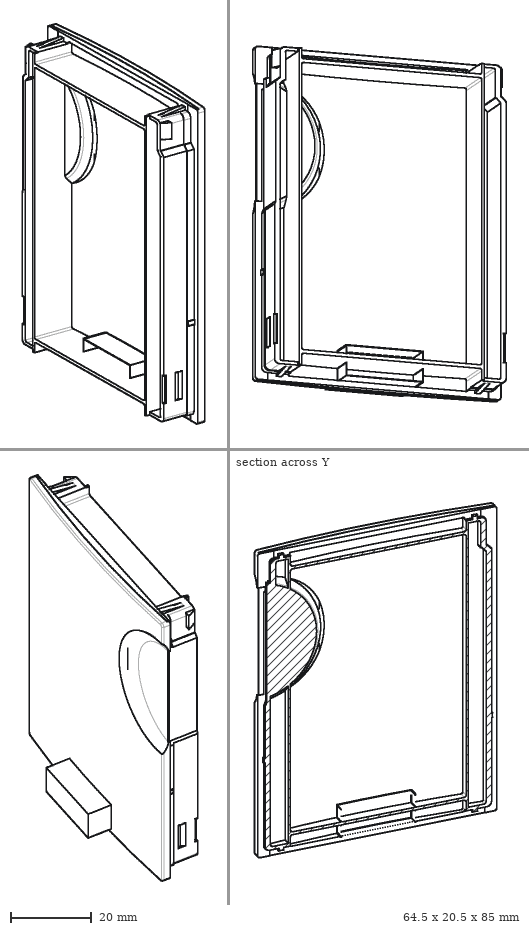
import cadquery as cq


PLATE_W = 64.5
PLATE_H = 85.0
CROWN_Y = 3.9
DOME_RISE = 1.6
SKIN = 1.8
PLATE_CORNER_R = 0.85
PLATE_EDGE_R = 0.4
RIM_INSET = 0.1
RELIEF_DEPTH = 0.1
TOP_RELIEF_X = 27.9
BOTTOM_RELIEF_X = 29.0

SCOOP_X = -32.55
SCOOP_Z = 60.4
SCOOP_FLOOR_R = 15.0
SCOOP_FLOOR_Y = 0.5
SCOOP_MID_R = 17.7
SCOOP_MID_Y = 1.8
SCOOP_TOP_R = 19.0
BULGE_FLOOR_R = 15.6
BULGE_FLOOR_Y = -0.85
BULGE_LOW_R = 16.3
BULGE_LOW_Y = -0.4
BULGE_HIGH_R = 17.85
BULGE_HIGH_Y = 1.3
BULGE_TOP_R = 19.0
BULGE_TOP_Y = 1.8
SCOOP_EDGE_INSET = 0.3

RIM_Y = -10.0
BOX_OUT_X = 24.3
BOX_IN_X = 23.6
BOX_TOP_Z = 80.1
BOX_BOTTOM_Z = 5.0
BOX_WALL = 0.9
POCKET_TOP_Z = 83.55
POCKET_BOTTOM_Z = 1.5
RAIL_LOW_Z = 2.1
RAIL_HIGH_Z = 82.8
CAVITY_R = 0.5

CHANNEL_Y = -9.0
CHANNEL_WIDE_X = 30.4
CHANNEL_NARROW_X = 29.0
CHANNEL_LOW_Z = 2.1
CHANNEL_LEDGE_Z = 75.05
CHANNEL_HIGH_Z = 83.0
LEDGE_FLAT = 0.2
CHANNEL_CORNER_R = 1.3
END_WALL = 0.85
SIDE_WALL = 1.45
LEDGE_DROP = 0.4
BAND_GROW = 0.2
BAND_Y = -2.0
TAB_Y = -1.8

RELIEF_X = -30.1
RELIEF_LOW_Z = 42.3
RELIEF_HIGH_Z = 43.5
TAB_TOP_Z = 76.6

HOOK_X = 30.3
HOOK_Y = -6.55
HOOK_LOW_Z = 78.0
HOOK_HIGH_Z = 82.45
NUB_X = 30.85
NUB_Y = -1.9
NUB_LOW_Z = 26.6
NUB_HIGH_Z = 27.9
SLOT_LOW_Z = 7.3
SLOT_HIGH_Z = 14.8
SLOT_NEAR_Y = -3.4
SLOT_DEEP_Y = -4.25
SLOT_FAR_Y = -5.6
SLOT_DEPTH = 0.6
RIM_NOTCH_Y = -8.25
RIM_NOTCH_DEPTH = 0.7
RIB_X0 = 25.4
RIB_X1 = 26.8
RIB_HEIGHT = 0.9
RIB_END_Y = -7.1

POST_HALF_W = 10.1
POST_LOW_Z = 1.6
POST_HIGH_Z = 9.5
POST_END_Y = 10.45
TUBE_END_Y = -4.85
TUBE_WALL = 0.2

HALF_W = PLATE_W / 2
OVERSHOOT = 0.85
OVERLAP = 0.4


def block(x0, x1, y0, y1, z0, z1):
    return cq.Workplane("XY").box(x1 - x0, y1 - y0, z1 - z0, centered=False).translate((x0, y0, z0))


def mirrored(solid):
    """The solid together with its mirror image across x = 0."""
    return solid.union(solid.mirror("YZ"))


def prism_along_z(points, z0, z1):
    """Extrude an (x, y) polygon from z0 to z1."""
    return cq.Workplane("XY").workplane(offset=z0).polyline(points).close().extrude(z1 - z0)


def dome(crown, base_y, z0, z1):
    """Solid between a flat base and a cylindrical dome across the plate width."""
    edge_y = crown - DOME_RISE
    return (
        cq.Workplane("XY").workplane(offset=z0)
        .moveTo(-HALF_W, base_y)
        .lineTo(HALF_W, base_y)
        .lineTo(HALF_W, edge_y)
        .threePointArc((0, crown), (-HALF_W, edge_y))
        .close()
        .extrude(z1 - z0)
    )


def below_skin(z0, z1):
    """Everything on the tray side of the inner dome surface."""
    return dome(CROWN_Y - SKIN, RIM_Y - OVERSHOOT, z0, z1)


def rim_reliefs():
    """Shallow steps along the top and bottom edges and beside the scoop."""
    top = block(-TOP_RELIEF_X, TOP_RELIEF_X, 0, RELIEF_DEPTH, POCKET_TOP_Z - OVERSHOOT, PLATE_H)
    bottom = block(-BOTTOM_RELIEF_X, BOTTOM_RELIEF_X, 0, RELIEF_DEPTH, 0, POCKET_BOTTOM_Z + OVERSHOOT)
    side = block(-HALF_W, RELIEF_X, 0, RELIEF_DEPTH, SCOOP_Z - SCOOP_FLOOR_R, SCOOP_Z + SCOOP_FLOOR_R)
    return top.union(bottom).union(side)


def plate_solid():
    plate = dome(CROWN_Y, 0, 0, PLATE_H).edges("|Y").fillet(PLATE_CORNER_R)
    plate = plate.faces(">Y").edges().fillet(PLATE_EDGE_R)
    for z0 in (0, PLATE_H - RIM_INSET):
        plate = plate.cut(below_skin(z0, z0 + RIM_INSET))
    return plate.cut(rim_reliefs())


def channel_prism(x_in, x_wide, x_narrow, z_low, z_ledge, z_high, y0, y1, radius):
    """Right-hand channel shape: wide below, stepping in over a 45 degree ledge above."""
    wide = block(x_in, x_wide, y0, y1, z_low, z_ledge)
    wide = wide.edges("|Y and >X and <Z").fillet(radius)
    wide = wide.edges("|Y and >X and >Z").chamfer(x_wide - x_narrow - LEDGE_FLAT)
    narrow = block(x_in, x_narrow, y0, y1, z_low + radius, z_high)
    narrow = narrow.edges("|Y and >X and >Z").fillet(radius)
    return wide.union(narrow)


def channel_body(y_end, grow):
    return channel_prism(
        BOX_IN_X, CHANNEL_WIDE_X + grow, CHANNEL_NARROW_X + grow,
        CHANNEL_LOW_Z - grow, CHANNEL_LEDGE_Z, CHANNEL_HIGH_Z,
        y_end, OVERLAP, CHANNEL_CORNER_R,
    )


def hook():
    outline = [(CHANNEL_NARROW_X - OVERSHOOT, HOOK_Y), (HOOK_X, HOOK_Y),
               (CHANNEL_NARROW_X, CHANNEL_Y), (CHANNEL_NARROW_X - OVERSHOOT, CHANNEL_Y)]
    return prism_along_z(outline, HOOK_LOW_Z, HOOK_HIGH_Z)


def end_ribs():
    """Tapered ribs on the top and bottom ends of a channel."""
    ribs = cq.Workplane("XY")
    for z_wall, outward in ((CHANNEL_HIGH_Z, 1), (CHANNEL_LOW_Z, -1)):
        outline = [(0, z_wall - outward * END_WALL / 2), (0, z_wall + outward * RIB_HEIGHT),
                   (RIB_END_Y, z_wall), (RIB_END_Y, z_wall - outward * END_WALL / 2)]
        rib = cq.Workplane("YZ").workplane(offset=RIB_X0).polyline(outline).close()
        ribs = ribs.add(rib.extrude(RIB_X1 - RIB_X0))
    return ribs.combine()


def channel_side_cuts():
    """V groove and rim notch low on the outer wall of a channel."""
    outside = CHANNEL_WIDE_X + OVERSHOOT
    groove = [(outside, SLOT_NEAR_Y), (CHANNEL_WIDE_X, SLOT_NEAR_Y),
              (CHANNEL_WIDE_X - SLOT_DEPTH, SLOT_DEEP_Y),
              (CHANNEL_WIDE_X, SLOT_FAR_Y), (outside, SLOT_FAR_Y)]
    notch = block(CHANNEL_WIDE_X - RIM_NOTCH_DEPTH, outside, CHANNEL_Y - OVERSHOOT, RIM_NOTCH_Y,
                  SLOT_LOW_Z, SLOT_HIGH_Z)
    return prism_along_z(groove, SLOT_LOW_Z, SLOT_HIGH_Z).union(notch)


def left_relief():
    """Thins the left outer wall beside the scoop, with a sloped lower end."""
    outside = -HALF_W - OVERSHOOT
    outline = [(RELIEF_X, RELIEF_HIGH_Z), (-CHANNEL_WIDE_X - BAND_GROW, RELIEF_LOW_Z),
               (outside, RELIEF_LOW_Z), (outside, TAB_TOP_Z), (RELIEF_X, TAB_TOP_Z)]
    return cq.Workplane("XZ").polyline(outline).close().extrude(-RIM_Y)


def channels():
    right = channel_body(CHANNEL_Y, 0).union(channel_body(BAND_Y, BAND_GROW))
    right = right.cut(channel_side_cuts()).union(hook()).union(end_ribs())
    nub = block(CHANNEL_WIDE_X - OVERSHOOT, NUB_X, NUB_Y, OVERLAP, NUB_LOW_Z, NUB_HIGH_Z)
    both = mirrored(right.union(nub)).cut(left_relief())
    tab = block(RELIEF_X, -CHANNEL_NARROW_X + OVERSHOOT, TAB_Y, OVERLAP,
                CHANNEL_LEDGE_Z - 2 * OVERSHOOT, TAB_TOP_Z)
    return both.union(tab)


def box_walls():
    """Outer block of the central box and its side rails, to be hollowed by the cavities."""
    rails = block(BOX_IN_X - OVERSHOOT, BOX_OUT_X, RIM_Y, OVERLAP, RAIL_LOW_Z, RAIL_HIGH_Z)
    core = block(-BOX_OUT_X, BOX_OUT_X, RIM_Y, OVERLAP, BOX_BOTTOM_Z, BOX_TOP_Z)
    return mirrored(rails).union(core)


def cavities():
    """The box interior, the two end pockets and the two channel interiors."""
    y0 = RIM_Y - OVERSHOOT
    spans = (
        (BOX_BOTTOM_Z + BOX_WALL, BOX_TOP_Z - BOX_WALL),
        (BOX_TOP_Z, POCKET_TOP_Z),
        (POCKET_BOTTOM_Z, BOX_BOTTOM_Z),
    )
    channel = channel_prism(
        BOX_OUT_X, CHANNEL_WIDE_X - SIDE_WALL, CHANNEL_NARROW_X - SIDE_WALL,
        CHANNEL_LOW_Z + END_WALL, CHANNEL_LEDGE_Z - LEDGE_DROP, CHANNEL_HIGH_Z - END_WALL,
        y0, CROWN_Y, CAVITY_R,
    )
    hollow = mirrored(channel)
    for z0, z1 in spans:
        hollow = hollow.union(block(-BOX_IN_X, BOX_IN_X, y0, CROWN_Y, z0, z1).edges("|Y").fillet(CAVITY_R))
    return hollow.intersect(below_skin(0, PLATE_H))


def turned(profile):
    """Revolve an (r, y) profile about the scoop axis."""
    return profile.close().revolve(360, (0, 0), (0, 1)).translate((SCOOP_X, 0, SCOOP_Z))


def scoop_bulge(plate):
    """Material behind the scoop, kept inside the left channel wall and below the dome."""
    flank = cq.Workplane("XY").polyline([
        (0, BULGE_FLOOR_Y),
        (BULGE_FLOOR_R, BULGE_FLOOR_Y),
        (BULGE_LOW_R, BULGE_LOW_Y),
        (BULGE_HIGH_R, BULGE_HIGH_Y),
        (BULGE_TOP_R, BULGE_TOP_Y),
        (0, BULGE_TOP_Y),
    ])
    inside = block(-CHANNEL_WIDE_X + OVERSHOOT, HALF_W, BULGE_FLOOR_Y, OVERSHOOT, 0, PLATE_H)
    return turned(flank).intersect(plate.union(inside))


def scoop_cut():
    dish = (
        cq.Workplane("XY")
        .moveTo(0, SCOOP_FLOOR_Y)
        .lineTo(SCOOP_FLOOR_R, SCOOP_FLOOR_Y)
        .threePointArc((SCOOP_MID_R, SCOOP_MID_Y), (SCOOP_TOP_R, CROWN_Y))
        .lineTo(0, CROWN_Y)
    )
    edge_x = -HALF_W + SCOOP_EDGE_INSET
    edge = block(-HALF_W - OVERSHOOT, edge_x, -OVERSHOOT, CROWN_Y,
                 SCOOP_Z - SCOOP_FLOOR_R, SCOOP_Z + SCOOP_FLOOR_R)
    return turned(dish).union(edge)


def post():
    """Solid outside the plate, a thin-walled open tube inside the tray."""
    root_y = CROWN_Y - SKIN / 2
    solid = block(-POST_HALF_W, POST_HALF_W, TUBE_END_Y, POST_END_Y, POST_LOW_Z, POST_HIGH_Z)
    bore = block(-POST_HALF_W + TUBE_WALL, POST_HALF_W - TUBE_WALL, TUBE_END_Y, root_y,
                 POST_LOW_Z + TUBE_WALL, POST_HIGH_Z - TUBE_WALL)
    crossing_wall = block(-POST_HALF_W, POST_HALF_W, TUBE_END_Y, root_y,
                          BOX_BOTTOM_Z, BOX_BOTTOM_Z + BOX_WALL)
    return solid.cut(bore.cut(crossing_wall).intersect(below_skin(0, PLATE_H)))


plate_body = plate_solid()
result = plate_body.union(channels()).union(box_walls()).cut(cavities())
result = result.union(scoop_bulge(plate_body)).cut(scoop_cut())
result = result.union(post())